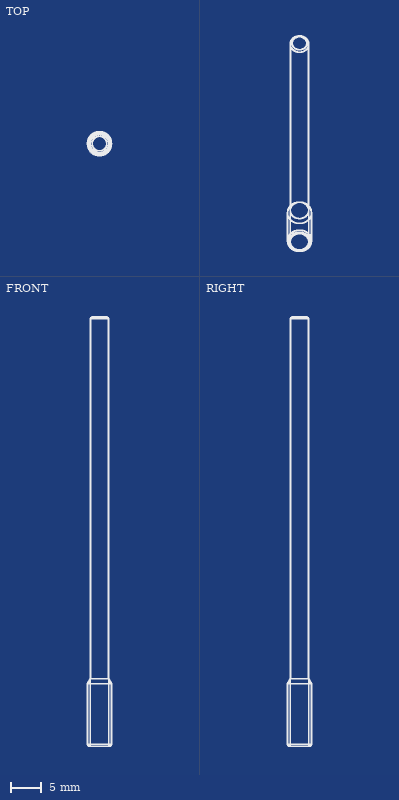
import cadquery as cq

rod_diameter = 3.0
rod_length = 70.0
rod_tip_face_diameter = 2.4
rod_tip_chamfer_height = 0.3

sleeve_diameter = 3.9
sleeve_length = 11.05
sleeve_taper_height = 0.85
sleeve_chamfer_width = 0.2
sleeve_chamfer_height = 0.35


def make_rod():
    """Plain round rod along Z with a chamfered upper end."""
    tip_chamfer_width = (rod_diameter - rod_tip_face_diameter) / 2
    rod = cq.Workplane("XY").circle(rod_diameter / 2).extrude(rod_length)
    return rod.faces(">Z").edges().chamfer(rod_tip_chamfer_height, tip_chamfer_width)


def make_sleeve():
    """Sleeve tapering to the rod at its top, chamfered below and bored through for the rod."""
    outer_radius = sleeve_diameter / 2
    bore_radius = rod_diameter / 2
    half_section = (
        cq.Workplane("XZ")
        .moveTo(bore_radius, 0)
        .lineTo(outer_radius - sleeve_chamfer_width, 0)
        .lineTo(outer_radius, sleeve_chamfer_height)
        .lineTo(outer_radius, sleeve_length - sleeve_taper_height)
        .lineTo(bore_radius, sleeve_length)
        .close()
    )
    return half_section.revolve(360, (0, 0, 0), (0, 1, 0))


rod = make_rod()
sleeve = make_sleeve()

result = cq.Compound.makeCompound([rod.val(), sleeve.val()])